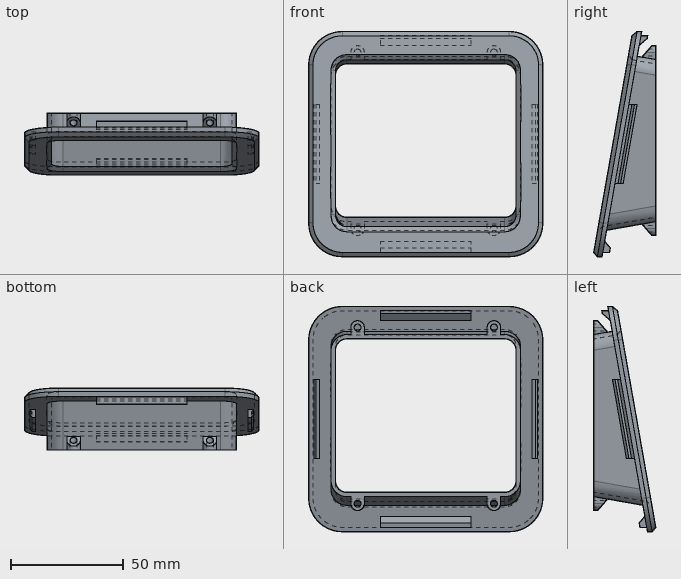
import cadquery as cq
import math

TILT = math.radians(10)
SLOPE = math.tan(TILT)
FRONT_DIRECTION = cq.Vector(0, -math.cos(TILT), math.sin(TILT))

FLANGE_WIDTH = 104.0
FLANGE_HEIGHT = 100.0
FLANGE_RADIUS = 15.0
FLANGE_BACK_Y = -15.1
FLANGE_DEPTH = 4.1
EDGE_CHAMFER = 2.0

WALL = 2.0
TUNNEL_WIDTH = 84.0
TUNNEL_HEIGHT = 72.0
TUNNEL_RADIUS = 7.0
TUNNEL_CENTER_Z = 1.6
TUNNEL_REACH = 41.6

BOSS_DIAMETER = 6.0
HOLE_DIAMETER = 3.0
BOSS_SPACING_X = 60.5
BOSS_SPACING_Z = 78.2
BOSS_TIP_LENGTH = 1.8
BOSS_BEVEL_RUN = 0.87

END_RIB_LENGTH = 40.0
END_RIB_INSET = 1.9
END_RIB_DEPTH = 3.0
TOP_RIB_TIP = 1.2
TOP_RIB_ROOT = 4.4
BOTTOM_RIB_TIP = 2.1
BOTTOM_RIB_ROOT = 5.0
SIDE_RIB_LENGTH = 35.0
SIDE_RIB_INSET = 2.3
SIDE_RIB_DEPTH = 3.6
SIDE_RIB_CREST_DEPTH = 2.5
SIDE_RIB_NECK_DEPTH = 1.4
SIDE_RIB_STEP = 1.0
SIDE_RIB_THICKNESS = 2.5
RIB_OVERLAP = 0.5


def flange_back(z):
    return FLANGE_BACK_Y + z * SLOPE


def block_between(front_offset, back_offset):
    """Slanted slab between two planes offset along Y from the flange back."""
    half = FLANGE_HEIGHT
    low = flange_back(-half)
    high = flange_back(half)
    return (
        cq.Workplane("YZ")
        .polyline([
            (low + front_offset, -half),
            (low + back_offset, -half),
            (high + back_offset, half),
            (high + front_offset, half),
        ])
        .close()
        .extrude(FLANGE_WIDTH, both=True)
    )


def rounded_section(width, height, radius):
    return cq.Sketch().rect(width, height).vertices().fillet(radius)


def flared_prism(width, height, radius):
    """Rounded prism running toward -Y whose top and bottom flare by the tilt angle."""
    front_height = height + 2 * TUNNEL_REACH * SLOPE
    return (
        cq.Workplane("XZ", origin=(0, 0, TUNNEL_CENTER_Z))
        .placeSketch(
            rounded_section(width, height, radius),
            rounded_section(width, front_height, radius).moved(cq.Location(cq.Vector(0, 0, TUNNEL_REACH))),
        )
        .loft(ruled=True)
    )


def make_flange():
    prism = (
        cq.Workplane("XZ")
        .placeSketch(rounded_section(FLANGE_WIDTH, FLANGE_HEIGHT, FLANGE_RADIUS))
        .extrude(TUNNEL_REACH)
    )
    plate = prism.intersect(block_between(-FLANGE_DEPTH, 0))
    front = plate.faces(cq.selectors.DirectionMinMaxSelector(FRONT_DIRECTION, True))
    return front.edges().chamfer(EDGE_CHAMFER)


def make_boss(x, side):
    """Beveled boss above (side = 1) or below (side = -1) the tunnel."""
    radius = BOSS_DIAMETER / 2
    axis_height = BOSS_SPACING_Z / 2
    top = axis_height + radius
    base = TUNNEL_HEIGHT / 2 - WALL / 2
    base_length = BOSS_TIP_LENGTH + (top - base) * BOSS_BEVEL_RUN
    outline = (
        cq.Workplane("XZ")
        .moveTo(x - radius, base)
        .lineTo(x - radius, axis_height)
        .threePointArc((x, top), (x + radius, axis_height))
        .lineTo(x + radius, base)
        .close()
        .extrude(base_length)
    )
    bevel = (
        cq.Workplane("YZ")
        .polyline([(0, base), (-base_length, base), (-BOSS_TIP_LENGTH, top), (0, top)])
        .close()
        .extrude(FLANGE_WIDTH, both=True)
    )
    boss = outline.intersect(bevel)
    if side < 0:
        boss = boss.mirror("XY")
    return boss.translate((0, 0, TUNNEL_CENTER_Z))


def make_boss_hole(x, side):
    z = TUNNEL_CENTER_Z + side * BOSS_SPACING_Z / 2
    return (
        cq.Workplane("XZ", origin=(x, 0, z))
        .circle(HOLE_DIAMETER / 2)
        .extrude(BOSS_TIP_LENGTH + BOSS_DIAMETER * BOSS_BEVEL_RUN)
    )


def make_end_rib(side, tip, root):
    """Hooked rib along the top (side = 1) or bottom (side = -1) of the flange."""
    outer = FLANGE_HEIGHT / 2 - END_RIB_INSET
    profile = [
        (outer, -RIB_OVERLAP),
        (outer, END_RIB_DEPTH),
        (outer - tip, END_RIB_DEPTH),
        (outer - root, 0),
        (outer - root, -RIB_OVERLAP),
    ]
    points = [(flange_back(side * z) + depth, side * z) for z, depth in profile]
    return cq.Workplane("YZ").polyline(points).close().extrude(END_RIB_LENGTH / 2, both=True)


def make_side_rib(side):
    """Notched rib along the left (side = -1) or right (side = 1) of the flange, following its tilt."""
    crest = FLANGE_WIDTH / 2 - SIDE_RIB_INSET
    neck = crest - SIDE_RIB_STEP
    inner = crest - SIDE_RIB_THICKNESS
    profile = [
        (inner, -RIB_OVERLAP),
        (crest, -RIB_OVERLAP),
        (crest, 0),
        (neck, SIDE_RIB_NECK_DEPTH),
        (crest, SIDE_RIB_CREST_DEPTH),
        (neck, SIDE_RIB_DEPTH),
        (inner, SIDE_RIB_DEPTH),
    ]

    def section(z):
        points = [cq.Vector(side * x, flange_back(z) + depth, z) for x, depth in profile]
        return cq.Wire.makePolygon(points, close=True)

    half = SIDE_RIB_LENGTH / 2
    return cq.Workplane(cq.Solid.makeLoft([section(-half), section(half)], True))


tunnel = flared_prism(TUNNEL_WIDTH, TUNNEL_HEIGHT, TUNNEL_RADIUS)
tunnel = tunnel.intersect(block_between(-FLANGE_DEPTH / 2, TUNNEL_REACH))
body = make_flange().union(tunnel)

boss_places = [(x, side) for x in (-BOSS_SPACING_X / 2, BOSS_SPACING_X / 2) for side in (-1, 1)]
for x, side in boss_places:
    body = body.union(make_boss(x, side))

body = body.cut(flared_prism(TUNNEL_WIDTH - 2 * WALL, TUNNEL_HEIGHT - 2 * WALL, TUNNEL_RADIUS - WALL))
front_face = body.faces(cq.selectors.DirectionMinMaxSelector(FRONT_DIRECTION, True))
opening_edges = front_face.val().innerWires()[0].Edges()
body = body.newObject(opening_edges).chamfer(EDGE_CHAMFER)

for x, side in boss_places:
    body = body.cut(make_boss_hole(x, side))

for side in (-1, 1):
    body = body.union(make_side_rib(side))

body = body.union(make_end_rib(1, TOP_RIB_TIP, TOP_RIB_ROOT))
body = body.union(make_end_rib(-1, BOTTOM_RIB_TIP, BOTTOM_RIB_ROOT))

result = body